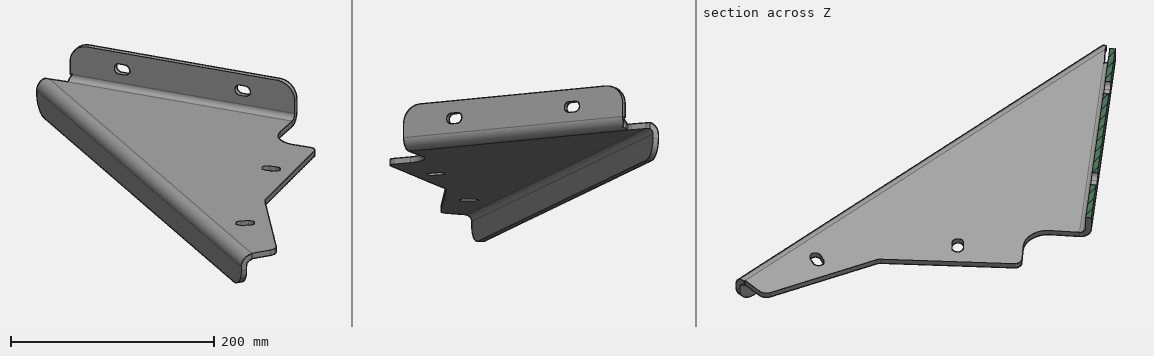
import cadquery as cq
import math

length = 489.8
height = 73.0
thickness = 6.0
bend_radius = 11.8
bend_inner_radius = bend_radius - thickness
plate_top = 35.0
plate_bottom = plate_top - thickness
corner_radius = 18.5

flange_start = (11.0, 34.0)
flange_end = (192.5, 194.5)
flange_run = flange_end[0] - flange_start[0]
flange_rise = flange_end[1] - flange_start[1]
flange_length = math.hypot(flange_run, flange_rise)
flange_angle = math.degrees(math.atan2(flange_rise, flange_run))

slot_width = 11.5
plate_slot_length = 18.5
plate_slots = [(300.5, 117.5, 45), (416.0, 37.5, 71)]
flange_slot_length = 16.5
flange_slot_width = 11.0
flange_slot_spacing = 130.5
flange_slot_height = 55.5

plate_end_x = 488.5
trim_x = 4.5
trim_y = 9.0
relief_x = 15.5
relief_y = 23.0
relief_top_y = 32.0
notch = (236.5, 145.5)
notch_radius = 24.5
peak = (273.0, 179.5)
peak_radius = 7.5
elbow = (371.0, 79.0)
elbow_radius = 10.0
tip_y = 39.0
tip_radius = 10.0

flange_plane = cq.Plane(
    origin=(flange_start[0], flange_start[1], 0),
    xDir=(flange_run, flange_rise, 0),
    normal=(0, 0, 1),
)


def plan_point(along, inward):
    """Plan position of a point measured along and inward from the slanted flange."""
    point = flange_plane.toWorldCoords((along, -inward, 0))
    return (point.x, point.y)


def round_edge(body, x, y, radius):
    """Round the vertical edge standing at plan position (x, y)."""
    mid_edge = (x, y, plate_bottom + thickness / 2)
    return body.edges(cq.selectors.NearestToPointSelector(mid_edge)).fillet(radius)


def make_plate():
    """Flat web between the two bend lines, with its rounded free outline."""
    tip = (plate_end_x, tip_y)
    outline = [
        (trim_x, bend_radius),
        (relief_x, relief_y),
        plan_point(flange_length, bend_radius),
        notch,
        peak,
        elbow,
        tip,
        (plate_end_x, bend_radius),
    ]
    plate = cq.Workplane("XY").workplane(offset=plate_bottom).polyline(outline).close().extrude(thickness)
    rounded_corners = [
        (notch, notch_radius),
        (peak, peak_radius),
        (elbow, elbow_radius),
        (tip, tip_radius),
    ]
    for (x, y), radius in rounded_corners:
        plate = round_edge(plate, x, y, radius)
    return plate


def bent_profile(plane, reach):
    """Section of a bend and flange: x runs inward from the outer face, y from the plate to the flange tip."""
    diagonal = math.sqrt(0.5)
    outer_mid = bend_radius * (1 - diagonal)
    inner_mid = bend_radius - bend_inner_radius * diagonal
    return (
        cq.Workplane(plane)
        .moveTo(bend_radius, 0)
        .threePointArc((outer_mid, outer_mid), (0, bend_radius))
        .lineTo(0, reach)
        .lineTo(thickness, reach)
        .lineTo(thickness, bend_radius)
        .threePointArc((inner_mid, inner_mid), (bend_radius, thickness))
        .close()
    )


def make_front_flange():
    """Flange bent down along the long straight side."""
    plane = cq.Plane(origin=(length, 0, plate_top), xDir=(0, 1, 0), normal=(-1, 0, 0))
    flange = bent_profile(plane, plate_top).extrude(length)
    flange = flange.faces("<Z").edges("|Y").fillet(corner_radius)
    end_trim = cq.Workplane("XY").polyline([(0, trim_y), (trim_x, bend_radius), (0, bend_radius)]).close()
    return flange.cut(end_trim.extrude(height))


def make_slanted_flange():
    """Flange bent up along the slanted side, with two slots along it."""
    inward_x = math.sin(math.radians(flange_angle))
    inward_y = -math.cos(math.radians(flange_angle))
    plane = cq.Plane(
        origin=(flange_end[0], flange_end[1], plate_bottom),
        xDir=(inward_x, inward_y, 0),
        normal=(-flange_run, -flange_rise, 0),
    )
    flange = bent_profile(plane, height - plate_bottom).extrude(flange_length)
    corners = cq.selectors.ParallelDirSelector(cq.Vector(inward_x, inward_y, 0))
    flange = flange.faces(">Z").edges(corners).fillet(corner_radius)
    face = cq.Plane(
        origin=(flange_start[0], flange_start[1], 0),
        xDir=(flange_run, flange_rise, 0),
        normal=(inward_x, inward_y, 0),
    )
    middle = flange_length / 2
    slots = (
        cq.Workplane(face)
        .pushPoints([(middle + side * flange_slot_spacing / 2, flange_slot_height) for side in (-1, 1)])
        .slot2D(flange_slot_length, flange_slot_width)
        .extrude(thickness)
    )
    relief = cq.Workplane("XY").rect(2 * relief_x, 2 * relief_top_y).extrude(plate_bottom + bend_radius)
    return flange.cut(slots).cut(relief)


def cut_plate_slots(body):
    """Through slots in the web, each turned to its own direction."""
    for x, y, direction in plate_slots:
        slot = cq.Workplane("XY").slot2D(plate_slot_length, slot_width, direction).extrude(height)
        body = body.cut(slot.translate((x, y, 0)))
    return body


bracket = make_plate().union(make_front_flange()).union(make_slanted_flange())
result = cut_plate_slots(bracket)